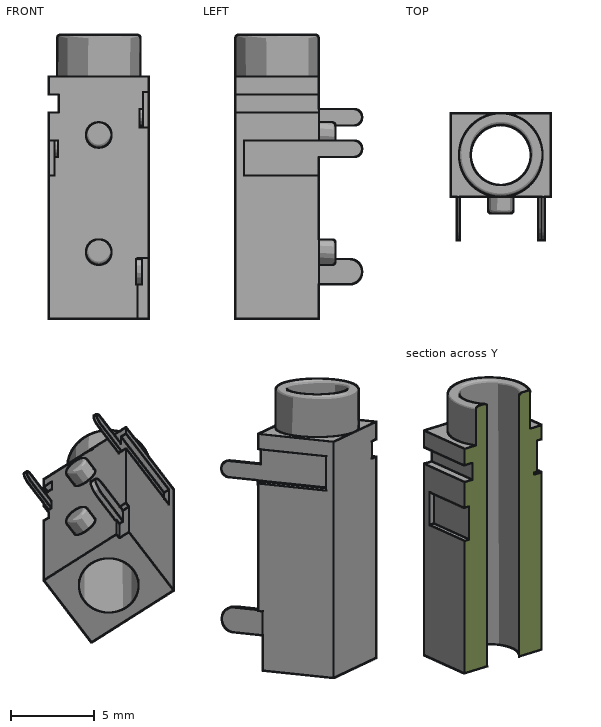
import cadquery as cq

width = 6.0
depth = 5.0
total_height = 17.0
collar_height = 2.5
block_height = total_height - collar_height
half_width = width / 2

collar_radius = depth / 2
bore_radius = 1.78
rim_round = 0.2

peg_radius = 0.76
peg_length = 1.0
peg_round = 0.2
peg_heights = (4.0, 11.0)

groove_bottom = 12.36
groove_height = 1.05
groove_depth = 0.6

recess_depth = 0.56
recess_height = 2.1
recess_length = 4.49
left_recess_bottom = 8.57
right_recess_bottom = 11.45
plate_thickness = 0.2
right_plate_gap = 0.1
tab_length = 2.6
tab_width = 1.0

notch_depth = 0.7
notch_length = 0.3
notch_height = 3.64
wide_tab_width = 1.53
wide_tab_bottom = 2.05
wide_tab_thickness = 0.34
wide_tab_inset = 0.42


def box(x, y, z, length_x, length_y, length_z):
    """Box with its lowest corner at (x, y, z)."""
    return cq.Workplane("XY").box(length_x, length_y, length_z, centered=False).translate((x, y, z))


def round_tab(x, z, thickness, tab_height, root_y):
    """Flat tab running forward from root_y to a full round tip."""
    radius = tab_height / 2
    tip_start = radius - tab_length
    return (
        cq.Workplane("YZ", origin=(x, 0, z))
        .moveTo(root_y, 0)
        .lineTo(tip_start, 0)
        .threePointArc((-tab_length, radius), (tip_start, tab_height))
        .lineTo(root_y, tab_height)
        .close()
        .extrude(thickness)
    )


def peg(z):
    """Round peg standing out of the front face."""
    return (
        cq.Workplane("XZ", origin=(0, 0, z))
        .circle(peg_radius)
        .extrude(peg_length)
        .faces("<Y")
        .edges()
        .fillet(peg_round)
    )


collar = (
    cq.Workplane("XY", origin=(0, depth / 2, block_height))
    .circle(collar_radius)
    .circle(bore_radius)
    .extrude(collar_height)
    .faces(">Z")
    .edges()
    .fillet(rim_round)
)
bore = cq.Workplane("XY", origin=(0, depth / 2, 0)).circle(bore_radius).extrude(block_height)
body = box(-half_width, 0, 0, width, depth, block_height).cut(bore).union(collar)

body = body.cut(box(-half_width, 0, groove_bottom, groove_depth, depth, groove_height))
right_floor_x = half_width - recess_depth
for recess_x, recess_z in ((-half_width, left_recess_bottom), (right_floor_x, right_recess_bottom)):
    body = body.cut(box(recess_x, 0, recess_z, recess_depth, recess_length, recess_height))
body = body.cut(box(half_width - notch_depth, 0, 0, notch_depth, notch_length, notch_height))

left_plate_x = -half_width + recess_depth - plate_thickness
left_tab_z = left_recess_bottom + recess_height - tab_width
body = body.union(
    box(left_plate_x, 0, left_recess_bottom, plate_thickness, recess_length, recess_height)
)
body = body.union(round_tab(left_plate_x, left_tab_z, plate_thickness, tab_width, recess_length))

right_plate_z = right_recess_bottom + right_plate_gap
right_plate_height = recess_height - right_plate_gap
body = body.union(
    box(right_floor_x, 0, right_plate_z, plate_thickness, recess_length, right_plate_height)
)
body = body.union(round_tab(right_floor_x, right_plate_z, plate_thickness, tab_width, recess_length))

wide_tab_x = half_width - wide_tab_inset - wide_tab_thickness
body = body.union(
    round_tab(wide_tab_x, wide_tab_bottom, wide_tab_thickness, wide_tab_width, notch_length)
)

for peg_height in peg_heights:
    body = body.union(peg(peg_height))

result = body